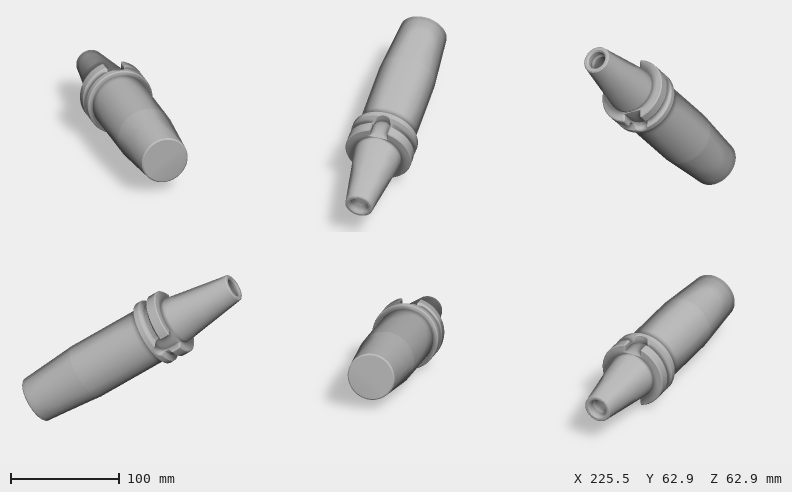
import cadquery as cq
import math

total_length = 225.5
beyond_part = 2 * total_length
selection_margin = 0.2

taper_rim_radius = 22.3
taper_end = 64.2
taper_ratio = 7 / 24
nose_radius = taper_rim_radius - taper_end * taper_ratio / 2
nose_chamfer = 1.0
rim_end = 65.8
undercut_radius = 22.0

flange_start = 67.5
flange_end = 92.5
flange_diameter = 62.9
flange_radius = flange_diameter / 2
flange_chamfer = 1.0
flange_fillet = 1.4
groove_floor_radius = 26.4
groove_flank_angle = 30
groove_floor_start = 79.8
groove_floor_end = 83.6
groove_flank_length = (flange_radius - groove_floor_radius) * math.tan(math.radians(groove_flank_angle))

body_radius = 26.8
body_end = 167.7
tip_radius = 22.0
tip_chamfer = 1.1

slot_width = 16.0
slot_floor = 22.5
slot_end = 88.4
slot_edge_chamfer = 1.4
slot_end_chamfer = 1.0
slot_overcut = 2.3

counterbore_radius = 8.5
counterbore_depth = 7.2
counterbore_chamfer = 1.4
thread_radius = 7.0
thread_lead_in = counterbore_radius - thread_radius
thread_end = 31.5
drill_tip_half_angle = 59
drill_tip_length = thread_radius / math.tan(math.radians(drill_tip_half_angle))


def revolve_about_x(points):
    """Revolve a closed (axial, radius) outline about the X axis."""
    return cq.Workplane("XY").polyline(points).close().revolve(360, (0, 0, 0), (1, 0, 0))


def make_shank():
    """Taper, flange, body and tapered tip as one turned solid."""
    outline = [
        (0, 0),
        (0, nose_radius - nose_chamfer),
        (nose_chamfer, nose_radius + nose_chamfer * taper_ratio / 2),
        (taper_end, taper_rim_radius),
        (rim_end, taper_rim_radius),
        (rim_end, undercut_radius),
        (flange_start, undercut_radius),
        (flange_start, flange_radius - flange_chamfer),
        (flange_start + flange_chamfer, flange_radius),
        (groove_floor_start - groove_flank_length, flange_radius),
        (groove_floor_start, groove_floor_radius),
        (groove_floor_end, groove_floor_radius),
        (groove_floor_end + groove_flank_length, flange_radius),
        (flange_end, flange_radius),
        (flange_end, body_radius),
        (body_end, body_radius),
        (total_length, tip_radius),
        (total_length, 0),
    ]
    shank = revolve_about_x(outline)
    rear_flange_edge = cq.selectors.BoxSelector(
        (flange_end - selection_margin, -beyond_part, -beyond_part),
        (flange_end + selection_margin, beyond_part, beyond_part),
        boundingbox=True,
    )
    outer_edge = shank.edges(rear_flange_edge).edges(cq.selectors.RadiusNthSelector(-1))
    shank = outer_edge.fillet(flange_fillet)
    return shank.faces(">X").edges().chamfer(tip_chamfer)


def make_bore():
    """Chamfered counterbore followed by the thread core hole and its drill tip."""
    return revolve_about_x([
        (0, 0),
        (0, counterbore_radius + counterbore_chamfer),
        (counterbore_chamfer, counterbore_radius),
        (counterbore_depth, counterbore_radius),
        (counterbore_depth + thread_lead_in, thread_radius),
        (thread_end, thread_radius),
        (thread_end + drill_tip_length, 0),
    ])


def make_slot():
    """Upper drive slot: open at the front face, round at the rear, with broken edges."""
    half_width = slot_width / 2
    arc_center = slot_end - half_width
    slot_height = flange_radius + slot_overcut - slot_floor
    slot = (
        cq.Workplane("XY", origin=(0, 0, slot_floor))
        .moveTo(flange_start, -half_width)
        .lineTo(arc_center, -half_width)
        .threePointArc((slot_end, 0), (arc_center, half_width))
        .lineTo(flange_start, half_width)
        .close()
        .extrude(slot_height)
    )
    chamfered_half_width = half_width + slot_edge_chamfer
    entry_break = (
        cq.Workplane("XY", origin=(0, 0, slot_floor))
        .polyline([
            (flange_start, -chamfered_half_width),
            (flange_start, chamfered_half_width),
            (flange_start + chamfered_half_width, 0),
        ])
        .close()
        .extrude(slot_height)
    )
    rim_height = math.sqrt(flange_radius**2 - chamfered_half_width**2)
    rim_break = (
        cq.Workplane("YZ", origin=(flange_start, 0, 0))
        .polyline([
            (-half_width, rim_height - slot_edge_chamfer),
            (half_width, rim_height - slot_edge_chamfer),
            (chamfered_half_width, rim_height),
            (chamfered_half_width, flange_radius),
            (-chamfered_half_width, flange_radius),
            (-chamfered_half_width, rim_height),
        ])
        .close()
        .extrude(groove_floor_start - flange_start)
    )
    return slot.union(entry_break).union(rim_break)


upper_slot = make_slot()
lower_slot = upper_slot.rotate((0, 0, 0), (1, 0, 0), 180)
result = make_shank().cut(make_bore()).cut(upper_slot).cut(lower_slot)

rear_rim_start = groove_floor_end + groove_flank_length
slot_end_edges = cq.selectors.BoxSelector(
    (rear_rim_start - selection_margin, -slot_width / 2, -beyond_part),
    (slot_end + selection_margin, slot_width / 2, beyond_part),
    boundingbox=True,
)
result = result.edges(slot_end_edges).chamfer(slot_end_chamfer)